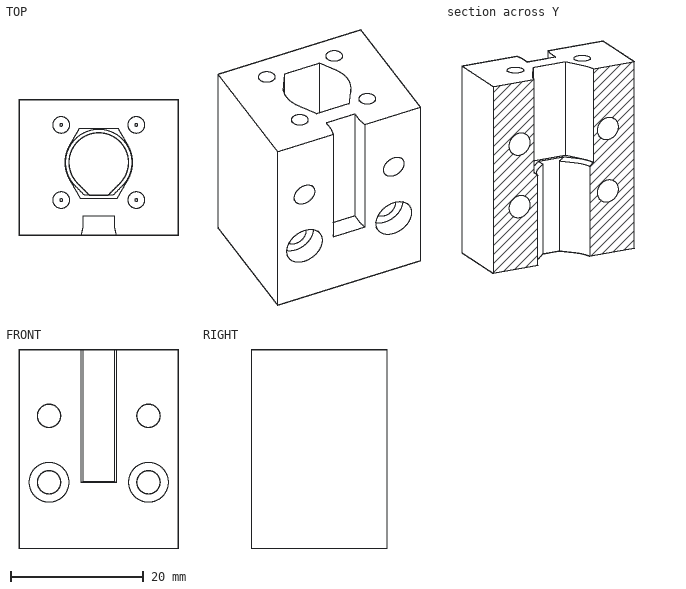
import cadquery as cq
import math

width = 24.0
depth = 20.5
height = 30.0

bore_y = 11.0
pocket_radius = 5.1
pocket_front_distance = 5.45
pocket_tangent_angle = 30.0
pocket_depth = 15.0
bore_radius = 4.47
bore_mouth_radius = 5.0
bore_flat_distance = 4.92
bore_tangent_angle = 45.0
bore_taper_depth = bore_mouth_radius - bore_radius

screw_circle_radius = 8.0
screw_pattern_angle = 45.0
screw_radius = 1.25
screw_depth = 6.0
screw_tip_radius = 0.2
screw_tip_half_angle = 45.0

mount_spacing = 15.0
mount_radius = 1.75
upper_mount_z = 20.0
lower_mount_z = 10.0
counterbore_radius = 3.0
counterbore_depth = 3.0

slot_bottom_z = 10.0
slot_floor_rise = 0.15
slot_depth = 2.9
slot_back_width = 4.8
slot_mouth_width = 5.28
slot_flare_depth = 1.2
slot_edge_drop = 0.12
slot_edge_setback = 0.03


def straight_side(radius, tangent_angle, flat_distance):
    """Ends of a straight side: where it leaves the circle, and where it meets a flat.

    tangent_angle is measured from the X axis; both points lie in the first quadrant.
    """
    angle = math.radians(tangent_angle)
    tangent = (radius * math.cos(angle), radius * math.sin(angle))
    corner = ((radius - flat_distance * math.sin(angle)) / math.cos(angle), flat_distance)
    return tangent, corner


def pocket_cutter():
    """Round pocket with tangent sides at 60 degrees running to a back flat and a front flat."""
    tangent, front = straight_side(pocket_radius, pocket_tangent_angle, pocket_front_distance)
    _, back = straight_side(pocket_radius, pocket_tangent_angle, pocket_radius)
    return (
        cq.Workplane("XY", origin=(0, bore_y, height - pocket_depth))
        .moveTo(-front[0], -front[1])
        .lineTo(front[0], -front[1])
        .lineTo(tangent[0], -tangent[1])
        .threePointArc((pocket_radius, 0), tangent)
        .lineTo(*back)
        .lineTo(-back[0], back[1])
        .lineTo(-tangent[0], tangent[1])
        .threePointArc((-pocket_radius, 0), (-tangent[0], -tangent[1]))
        .close()
        .extrude(pocket_depth)
    )


def teardrop(workplane, radius):
    """Draw a circle with tangent sides at 45 degrees running to a front flat."""
    tangent, front = straight_side(radius, bore_tangent_angle, bore_flat_distance)
    return (
        workplane.moveTo(-front[0], -front[1])
        .lineTo(front[0], -front[1])
        .lineTo(tangent[0], -tangent[1])
        .threePointArc((0, radius), (-tangent[0], -tangent[1]))
        .close()
    )


def bore_cutter():
    """Teardrop bore through the base, widened by a taper where it meets the pocket floor."""
    pocket_floor_z = height - pocket_depth
    straight = teardrop(cq.Workplane("XY", origin=(0, bore_y, 0)), bore_radius).extrude(pocket_floor_z)
    taper_start = cq.Workplane("XY", origin=(0, bore_y, pocket_floor_z - bore_taper_depth))
    taper = teardrop(
        teardrop(taper_start, bore_radius).workplane(offset=bore_taper_depth), bore_mouth_radius
    ).loft(ruled=True)
    return straight.union(taper)


def screw_hole_cutter():
    """Blind hole with a conical end that stops at a small flat, its top on the origin."""
    tip_length = (screw_radius - screw_tip_radius) / math.tan(math.radians(screw_tip_half_angle))
    return (
        cq.Workplane("XZ")
        .polyline([
            (0, 0),
            (screw_radius, 0),
            (screw_radius, -screw_depth),
            (screw_tip_radius, -screw_depth - tip_length),
            (0, -screw_depth - tip_length),
        ])
        .close()
        .revolve(360, (0, 0), (0, 1))
    )


def front_cylinder(x, z, radius, length):
    """Cylinder running back from the front face."""
    return cq.Workplane("XZ", origin=(x, 0, z)).circle(radius).extrude(-length)


def slot_cutter():
    """Slot with a flared mouth, a floor rising slightly to the back and a broken upper back edge."""
    back = slot_back_width / 2
    mouth = slot_mouth_width / 2
    plan = (
        cq.Workplane("XY", origin=(0, 0, slot_bottom_z))
        .polyline([
            (-mouth, 0),
            (-back, slot_flare_depth),
            (-back, slot_depth + slot_edge_setback),
            (back, slot_depth + slot_edge_setback),
            (back, slot_flare_depth),
            (mouth, 0),
        ])
        .close()
        .extrude(height - slot_bottom_z)
    )
    profile = (
        cq.Workplane("YZ", origin=(-mouth, 0, 0))
        .polyline([
            (0, slot_bottom_z),
            (slot_depth, slot_bottom_z + slot_floor_rise),
            (slot_depth, height - slot_edge_drop),
            (slot_depth + slot_edge_setback, height),
            (0, height),
        ])
        .close()
        .extrude(slot_mouth_width)
    )
    return plan.intersect(profile)


result = cq.Workplane("XY").box(width, depth, height, centered=(True, False, False))
result = result.cut(pocket_cutter()).cut(bore_cutter()).cut(slot_cutter())

screw_offset = screw_circle_radius * math.cos(math.radians(screw_pattern_angle))
for side_x in (-1, 1):
    for side_y in (-1, 1):
        screw_place = (side_x * screw_offset, bore_y + side_y * screw_offset, height)
        result = result.cut(screw_hole_cutter().translate(screw_place))

    mount_x = side_x * mount_spacing / 2
    for mount_z in (upper_mount_z, lower_mount_z):
        result = result.cut(front_cylinder(mount_x, mount_z, mount_radius, depth))
    result = result.cut(front_cylinder(mount_x, lower_mount_z, counterbore_radius, counterbore_depth))